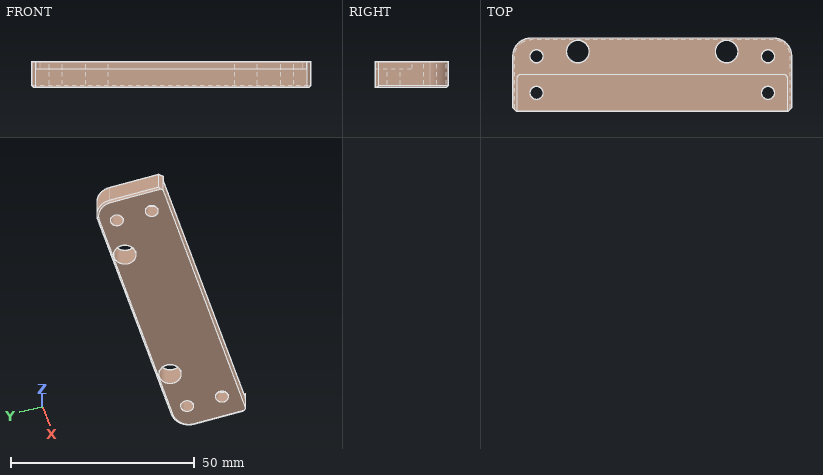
import cadquery as cq

length = 76
width = 20.0
height = 7.0
back_corner_radius = 5.0
front_corner_chamfer = 1.0
underside_chamfer = 0.5

recess_side_wall = 1.2
recess_length = length - 2 * recess_side_wall
recess_width = 10.0
recess_depth = 2.0
recess_corner_radius = 1.0

small_diameter = 3.5
small_spacing_x = 63.0
small_front_y = recess_width / 2
small_back_y = width - back_corner_radius

large_diameter = 6.1
large_spacing_x = 40.5
large_y = 16.3


def make_plate():
    """Plate with rounded back corners; the underside is chamfered except along the front."""
    plate = (
        cq.Workplane("XY")
        .box(length, width, height, centered=(True, False, False))
        .edges("|Z and >Y")
        .fillet(back_corner_radius)
    )
    plate = plate.faces("<Z").edges("not <Y").chamfer(underside_chamfer)
    return plate.edges("|Z and <Y").chamfer(front_corner_chamfer)


def make_recess():
    """Block removed from the top face to form the recess."""
    return (
        cq.Workplane("XY")
        .workplane(offset=height - recess_depth)
        .rect(recess_length, 2 * recess_width)
        .extrude(recess_depth)
        .edges("|Z and >Y")
        .fillet(recess_corner_radius)
    )


def make_hole_pair(diameter, spacing_x, y):
    """Two full-height cylinders placed symmetrically about X = 0."""
    centers = [(side * spacing_x / 2, y) for side in (-1, 1)]
    return cq.Workplane("XY").pushPoints(centers).circle(diameter / 2).extrude(height)


result = make_plate().cut(make_recess())
for row_y in (small_front_y, small_back_y):
    result = result.cut(make_hole_pair(small_diameter, small_spacing_x, row_y))
result = result.cut(make_hole_pair(large_diameter, large_spacing_x, large_y))